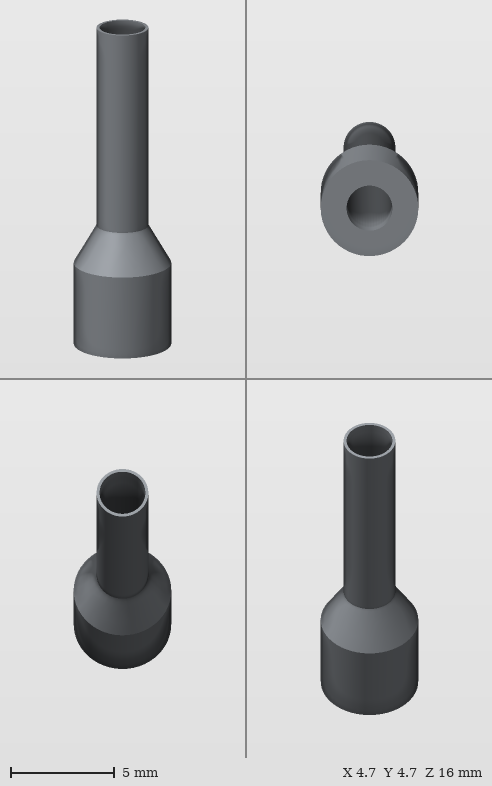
import cadquery as cq

total_height = 16.0
tube_diameter = 2.5
bore_diameter = 2.2

collar_diameter = 4.7
collar_straight_height = 4.1
collar_height = 6.0


def make_tube():
    """Thin-walled metal tube, open at both ends."""
    return (
        cq.Workplane("XY")
        .circle(tube_diameter / 2)
        .circle(bore_diameter / 2)
        .extrude(total_height)
    )


def make_collar():
    """Cylinder with a conical shoulder that narrows to the tube, bored to fit it."""
    profile = [
        (tube_diameter / 2, 0),
        (collar_diameter / 2, 0),
        (collar_diameter / 2, collar_straight_height),
        (tube_diameter / 2, collar_height),
    ]
    return cq.Workplane("XZ").polyline(profile).close().revolve(360, (0, 0), (0, 1))


tube = make_tube()
collar = make_collar()

result = cq.Compound.makeCompound([tube.val(), collar.val()])